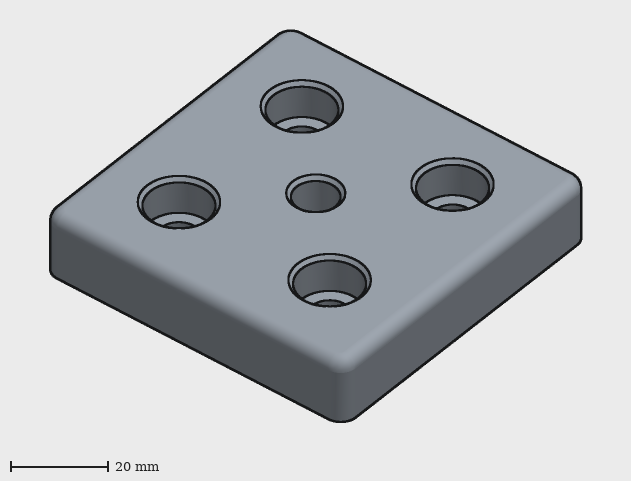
import cadquery as cq

side = 80.0
thickness = 16.0
corner_radius = 4.0
top_edge_radius = 0.75 * corner_radius

screw_spacing = side / 2
screw_diameter = 9.0
counterbore_diameter = 15.0
counterbore_depth = 9.0
counterbore_chamfer = 1.0

center_diameter = 10.2
center_chamfer = 1.0


def rounded_plate():
    """Square plate with rounded corners and a rounded top rim, standing on Z = 0."""
    plate = cq.Workplane("XY").box(side, side, thickness, centered=(True, True, False))
    plate = plate.edges("|Z").fillet(corner_radius)
    return plate.faces(">Z").edges().fillet(top_edge_radius)


def top_bore(diameter, depth, chamfer):
    """Cutter for a bore going down from the top face, with a 45 degree entry chamfer."""
    radius = diameter / 2
    mouth_radius = radius + chamfer
    return (
        cq.Workplane("XZ")
        .moveTo(0, thickness)
        .lineTo(mouth_radius, thickness)
        .lineTo(radius, thickness - chamfer)
        .lineTo(radius, thickness - depth)
        .lineTo(0, thickness - depth)
        .close()
        .revolve(360, (0, 0, 0), (0, 1, 0))
    )


def screw_hole():
    """Cutter for one screw hole: a clearance bore under a chamfered counterbore."""
    clearance = cq.Workplane("XY").circle(screw_diameter / 2).extrude(thickness)
    return clearance.union(top_bore(counterbore_diameter, counterbore_depth, counterbore_chamfer))


result = rounded_plate().cut(top_bore(center_diameter, thickness, center_chamfer))
for x_side in (-1, 1):
    for y_side in (-1, 1):
        x = x_side * screw_spacing / 2
        y = y_side * screw_spacing / 2
        result = result.cut(screw_hole().translate((x, y, 0)))